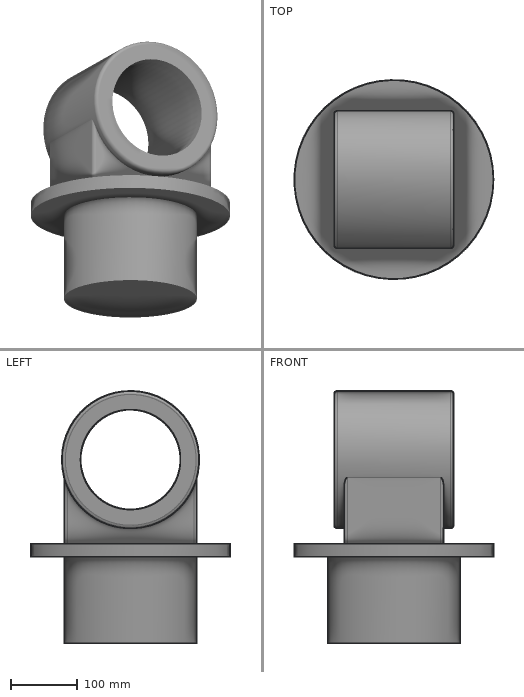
import cadquery as cq

spigot_diameter = 200
spigot_height = 130
flange_diameter = 300
flange_thickness = 20
flange_top = spigot_height + flange_thickness

overall_height = 380
sleeve_diameter = 207
sleeve_length = 180
bore_diameter = 150
sleeve_edge_radius = 5
sleeve_axis_height = overall_height - sleeve_diameter / 2

pedestal_length_x = 150
pedestal_width_y = spigot_diameter
pedestal_corner_radius = 5


def cylinder_along_x(diameter, length):
    """Cylinder on the sleeve axis, centred on X = 0."""
    return (
        cq.Workplane("YZ", origin=(-length / 2, 0, sleeve_axis_height))
        .circle(diameter / 2)
        .extrude(length)
    )


def make_base():
    """Round spigot with the flange on top of it."""
    spigot = cq.Workplane("XY").circle(spigot_diameter / 2).extrude(spigot_height)
    flange = (
        cq.Workplane("XY", origin=(0, 0, spigot_height))
        .circle(flange_diameter / 2)
        .extrude(flange_thickness)
    )
    return spigot.union(flange)


def make_pedestal():
    """Block with rounded upright corners, rising from the flange to the sleeve axis."""
    block = (
        cq.Workplane("XY", origin=(0, 0, flange_top))
        .rect(pedestal_length_x, pedestal_width_y)
        .extrude(sleeve_axis_height - flange_top)
    )
    return block.edges("|Z").fillet(pedestal_corner_radius)


def make_sleeve():
    """Sleeve body, still solid, with both outer rims rounded."""
    body = cylinder_along_x(sleeve_diameter, sleeve_length)
    return body.faces("<X or >X").edges().fillet(sleeve_edge_radius)


bore = cylinder_along_x(bore_diameter, sleeve_length)
result = make_base().union(make_pedestal()).union(make_sleeve()).cut(bore)